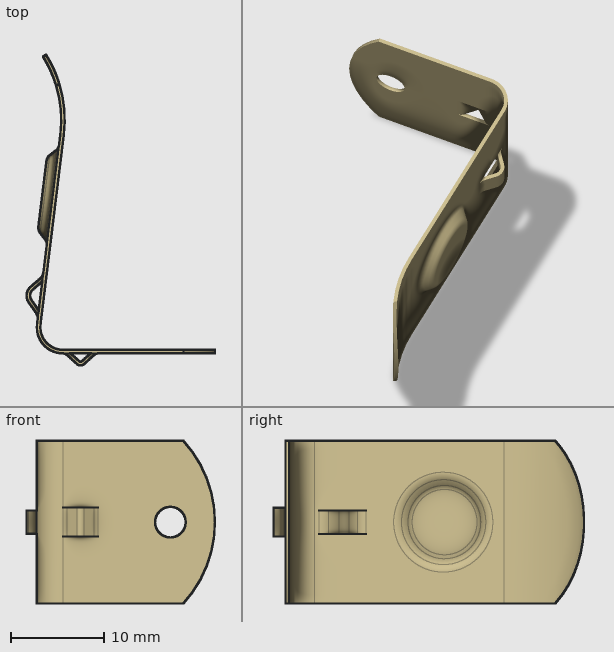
import math

import cadquery as cq

thickness = 0.4
strip_width = 17.45
bend_radius = 2.8
lean_angle = 7.0
foot_end = 19.08
upright_length = 20.45
curl_radius = 12.7
curl_angle = 39.2
end_radius = 12.9

hole_diameter = 3.25
hole_x = 14.3

foot_bridge_width = 3.12
foot_bridge_half_span = 1.89
foot_bridge_crown = 0.54
foot_bridge_root = 0.64
bridge_slope = 42.0

upright_bridge_width = 2.5
upright_bridge_half_span = 2.54
upright_bridge_crown = 1.24
upright_bridge_root = 1.06
upright_bridge_position = 3.04

dimple_radius = 5.35
dimple_flat_radius = 3.5
dimple_crown = 1.0
dimple_root = 0.73
dimple_slope = 45.0
dimple_position = 13.9

clearance = 1.0


def on_circle(center, radius, degrees):
    """Point on a circle, the angle counted from +X toward +Y."""
    angle = math.radians(degrees)
    return (center[0] + radius * math.cos(angle), center[1] + radius * math.sin(angle))


outward_angle = 180 - lean_angle
bend_center = (bend_radius, bend_radius)
bend_middle_angle = (270 + outward_angle) / 2
upright_start = on_circle(bend_center, bend_radius, outward_angle)
upright_end = on_circle(upright_start, upright_length, 90 - lean_angle)
curl_center = on_circle(upright_end, curl_radius, outward_angle)
curl_start_angle = -lean_angle
curl_middle_angle = curl_start_angle + curl_angle / 2
curl_end_angle = curl_start_angle + curl_angle


def local_plane(origin, along_degrees, outward_degrees):
    """Plane in the strip's side profile: local x along the sheet, local y off its outer face."""
    along = cq.Vector(*on_circle((0, 0), 1, along_degrees), 0)
    outward = cq.Vector(*on_circle((0, 0), 1, outward_degrees), 0)
    return cq.Plane(origin=(*origin, 0), xDir=along, normal=along.cross(outward))


def shifted_plane(plane, distance):
    """The same local plane moved along the sheet."""
    origin = plane.toWorldCoords((distance, 0, 0))
    return cq.Plane(origin=origin, xDir=plane.xDir, normal=plane.zDir)


def facing_plane(plane):
    """Plane lying on the outer face of the sheet, at the origin of a local plane."""
    return cq.Plane(origin=plane.origin, xDir=plane.xDir, normal=plane.yDir)


foot_plane = local_plane((bend_radius, 0), 0, -90)
foot_end_plane = local_plane((foot_end, 0), 0, -90)
upright_plane = local_plane(upright_start, 90 - lean_angle, outward_angle)
curl_end_plane = local_plane(
    on_circle(curl_center, curl_radius, curl_end_angle), 90 + curl_end_angle, 180 + curl_end_angle
)


def make_strip():
    inner_bend = bend_radius - thickness
    outer_curl = curl_radius + thickness
    return (
        cq.Workplane("XY")
        .moveTo(foot_end, 0)
        .lineTo(bend_radius, 0)
        .threePointArc(on_circle(bend_center, bend_radius, bend_middle_angle), upright_start)
        .lineTo(*upright_end)
        .threePointArc(
            on_circle(curl_center, curl_radius, curl_middle_angle),
            on_circle(curl_center, curl_radius, curl_end_angle),
        )
        .lineTo(*on_circle(curl_center, outer_curl, curl_end_angle))
        .threePointArc(
            on_circle(curl_center, outer_curl, curl_middle_angle),
            on_circle(curl_center, outer_curl, curl_start_angle),
        )
        .lineTo(*on_circle(bend_center, inner_bend, outward_angle))
        .threePointArc(
            on_circle(bend_center, inner_bend, bend_middle_angle), (bend_radius, thickness)
        )
        .lineTo(foot_end, thickness)
        .close()
        .extrude(strip_width / 2, both=True)
    )


def end_trim(plane):
    """Waste outside the arc that rounds a strip end, cut square to the sheet there."""
    half_width = strip_width / 2
    sagitta = end_radius - math.sqrt(end_radius**2 - half_width**2)
    waste = (
        cq.Workplane(plane)
        .center((clearance - sagitta) / 2, 0)
        .rect(sagitta + clearance, 4 * clearance)
        .extrude(half_width + clearance, both=True)
    )
    kept_plane = facing_plane(shifted_plane(plane, -end_radius))
    kept = cq.Workplane(kept_plane).circle(end_radius).extrude(3 * clearance, both=True)
    return waste.cut(kept)


def formed_half(plane, half_span, flat, crown, root, slope):
    """Half section of a raised shape of sheet thickness, centred on local x = 0."""
    wall_run = half_span - flat - (crown + root) * math.sin(math.radians(slope))
    wall_rise = wall_run * math.tan(math.radians(slope))
    height = wall_rise + (crown + root) * (1 - math.cos(math.radians(slope)))
    crown_center = (flat, height - crown)
    root_center = (half_span, root)
    inner_crown = crown - thickness
    inner_root = root + thickness
    wall_angle = 90 - slope
    crown_middle = 90 - slope / 2
    root_middle = 270 - slope / 2

    section = cq.Workplane(plane).moveTo(0, height)
    if flat > 0:
        section = section.lineTo(flat, height)
    section = (
        section.threePointArc(
            on_circle(crown_center, crown, crown_middle), on_circle(crown_center, crown, wall_angle)
        )
        .lineTo(*on_circle(root_center, root, 180 + wall_angle))
        .threePointArc(on_circle(root_center, root, root_middle), (half_span, 0))
        .lineTo(half_span, -thickness)
        .threePointArc(
            on_circle(root_center, inner_root, root_middle),
            on_circle(root_center, inner_root, 180 + wall_angle),
        )
        .lineTo(*on_circle(crown_center, inner_crown, wall_angle))
        .threePointArc(
            on_circle(crown_center, inner_crown, crown_middle), (flat, height - thickness)
        )
    )
    if flat > 0:
        section = section.lineTo(0, height - thickness)
    return section.close()


def add_bridge(body, plane, position, width, half_span, crown, root):
    """Lance a slot through the sheet and push its strip outward as a bridge."""
    center = shifted_plane(plane, position)
    slot = (
        cq.Workplane(center)
        .rect(2 * half_span, 2 * thickness + clearance)
        .extrude(width / 2, both=True)
    )
    section = formed_half(center, half_span, 0, crown, root, bridge_slope)
    half = section.extrude(width / 2, both=True)
    axis_end = center.origin + center.yDir
    other_half = half.rotate(center.origin.toTuple(), axis_end.toTuple(), 180)
    return body.cut(slot).union(half.union(other_half))


def add_dimple(body):
    """Round hollow dimple pressed outward from the upright."""
    center = shifted_plane(upright_plane, dimple_position)
    blank = cq.Workplane(facing_plane(center)).circle(dimple_radius).extrude(clearance, both=True)
    dimple = formed_half(
        center, dimple_radius, dimple_flat_radius, dimple_crown, dimple_root, dimple_slope
    ).revolve(360, (0, 0), (0, 1))
    return body.cut(blank).union(dimple)


def cut_hole(body):
    drill = (
        cq.Workplane("XZ")
        .center(hole_x, 0)
        .circle(hole_diameter / 2)
        .extrude(clearance, both=True)
    )
    return body.cut(drill)


bracket = make_strip()
for end_plane in (foot_end_plane, curl_end_plane):
    bracket = bracket.cut(end_trim(end_plane))
bracket = cut_hole(bracket)
bracket = add_bridge(
    bracket, foot_plane, foot_bridge_half_span, foot_bridge_width,
    foot_bridge_half_span, foot_bridge_crown, foot_bridge_root,
)
bracket = add_bridge(
    bracket, upright_plane, upright_bridge_position, upright_bridge_width,
    upright_bridge_half_span, upright_bridge_crown, upright_bridge_root,
)
result = add_dimple(bracket)